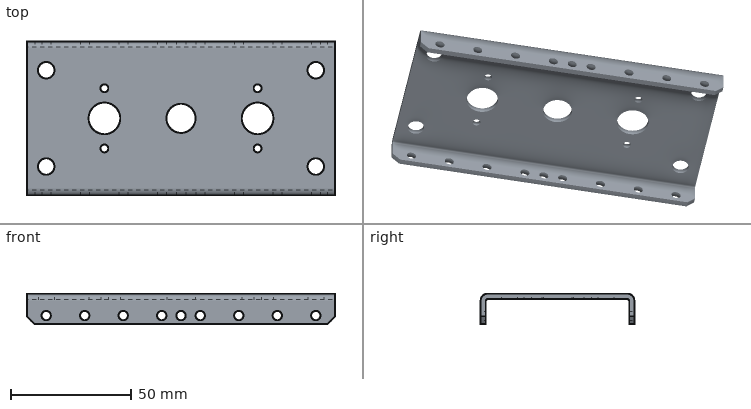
import cadquery as cq

length = 128.0
width = 64.0
height = 12.7

thickness = 2.28
inner_bend_radius = 0.74
outer_bend_radius = inner_bend_radius + thickness
flange_chamfer = 3.2

hole_pitch = 8.0
corner_hole_diameter = 6.76
corner_hole_x = length / 2 - hole_pitch
corner_hole_y = 20.0
center_hole_diameter = 12.0
side_hole_diameter = 13.05
side_hole_x = 31.82
screw_hole_diameter = 3.175
screw_hole_y = 12.5

flange_hole_diameter = 3.8
flange_hole_z = 3.56
flange_hole_steps = (-7, -5, -3, -1, 0, 1, 3, 5, 7)


def mirrored(x, y):
    """Four points placed symmetrically about both the X and Y axes."""
    return [(sx * x, sy * y) for sx in (-1, 1) for sy in (-1, 1)]


def make_channel():
    """Sheet bent into a channel that opens downward, with rounded bends."""
    outer = (
        cq.Workplane("XY")
        .box(length, width, height, centered=(True, True, False))
        .edges("|X and >Z")
        .fillet(outer_bend_radius)
    )
    inner = (
        cq.Workplane("XY")
        .box(length, width - 2 * thickness, height - thickness, centered=(True, True, False))
        .edges("|X and >Z")
        .fillet(inner_bend_radius)
    )
    return outer.cut(inner)


def chamfer_flange_corners(body):
    """Cut the lower corners at both ends of each flange."""
    return body.edges("|Y and <Z").chamfer(flange_chamfer)


def cut_web_holes(body, points, diameter):
    """Cut round holes down through the web."""
    cutters = cq.Workplane("XY").pushPoints(points).circle(diameter / 2).extrude(height)
    return body.cut(cutters)


def cut_flange_holes(body):
    """Cut the row of holes straight through both flanges."""
    points = [(step * hole_pitch, flange_hole_z) for step in flange_hole_steps]
    cutters = (
        cq.Workplane("XZ")
        .pushPoints(points)
        .circle(flange_hole_diameter / 2)
        .extrude(width / 2, both=True)
    )
    return body.cut(cutters)


channel = chamfer_flange_corners(make_channel())
channel = cut_web_holes(channel, mirrored(corner_hole_x, corner_hole_y), corner_hole_diameter)
channel = cut_web_holes(channel, [(0, 0)], center_hole_diameter)
channel = cut_web_holes(channel, [(-side_hole_x, 0), (side_hole_x, 0)], side_hole_diameter)
channel = cut_web_holes(channel, mirrored(side_hole_x, screw_hole_y), screw_hole_diameter)
result = cut_flange_holes(channel)